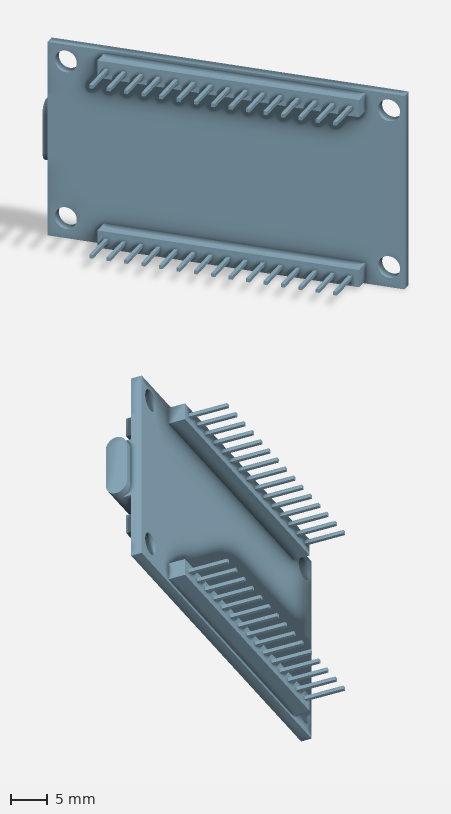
import cadquery as cq

total_length = 53.1
connector_overhang = 1.35
board_length = total_length - connector_overhang
board_height = 28.7
board_thickness = 1.6
board_middle = board_height / 2

hole_diameter = 3.2
hole_left = 2.65
hole_low = 3.0
hole_spacing_x = 46.9
hole_spacing_z = 23.2

pin_count = 15
pin_row_length = 35.4
pin_pitch = pin_row_length / (pin_count - 1)
pin_row_left = 9.5
pin_width = 0.55
pin_length = 5.9
pin_row_inset = 1.75
header_length = 38.0
header_width = 2.55
header_depth = 2.5
header_left = 8.2
header_inset = 0.5

connector_length = 7.5
connector_width = 9.05
connector_depth = 3.2

module_left = 27.05
module_length = 17.75
module_height = 16.05
module_low = 6.25
module_depth = 3.1

button_left = 1.65
button_length = 3.8
button_height = 2.85
button_depth = 1.6
button_inset = 5.1


def block(x, y, z, length, depth, height):
    """Box given by its lowest corner and its sizes along X, Y and Z."""
    return cq.Workplane("XY").box(length, depth, height, centered=False).translate((x, y, z))


def make_board():
    board = block(0, -board_thickness, 0, board_length, board_thickness, board_height)
    hole_centres = [
        (hole_left + i * hole_spacing_x, hole_low + j * hole_spacing_z)
        for i in (0, 1)
        for j in (0, 1)
    ]
    holes = (
        cq.Workplane("XZ")
        .pushPoints(hole_centres)
        .circle(hole_diameter / 2)
        .extrude(board_thickness)
    )
    return board.cut(holes)


def make_header(header_low, pin_row):
    """Header strip with its lower edge at header_low and its pins centred at pin_row."""
    header_face = -board_thickness - header_depth
    strip = block(header_left, header_face, header_low, header_length, header_depth, header_width)
    pin_centres = [(pin_row_left + i * pin_pitch, pin_row) for i in range(pin_count)]
    pins = (
        cq.Workplane("XZ", origin=(0, header_face, 0))
        .pushPoints(pin_centres)
        .rect(pin_width, pin_width)
        .extrude(pin_length)
    )
    return strip.union(pins)


def make_connector():
    shell = (
        cq.Workplane("YZ", origin=(-connector_overhang, connector_depth / 2, board_middle))
        .slot2D(connector_width, connector_depth, 90)
        .extrude(connector_length)
    )
    base = block(
        0,
        0,
        board_middle - connector_width / 2,
        connector_length - connector_overhang,
        connector_depth / 2,
        connector_width,
    )
    return shell.union(base)


def make_button(button_low):
    return block(button_left, 0, button_low, button_length, button_depth, button_height)


module = block(module_left, 0, module_low, module_length, module_depth, module_height)

result = (
    make_board()
    .union(make_header(header_inset, pin_row_inset))
    .union(make_header(board_height - header_inset - header_width, board_height - pin_row_inset))
    .union(make_connector())
    .union(make_button(button_inset))
    .union(make_button(board_height - button_inset - button_height))
    .union(module)
)